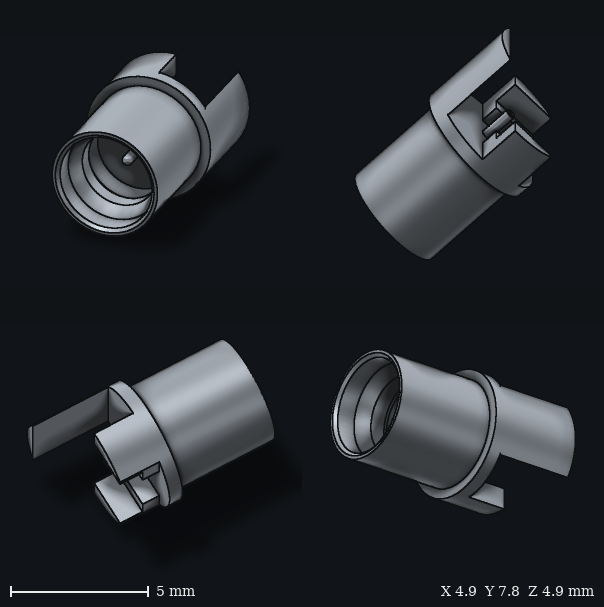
import cadquery as cq
import math

total_length = 7.8
collar_radius = 2.45
collar_front = 4.095
collar_back = 4.64
barrel_radius = 2.075

mouth_radius = 1.94
entry_radius = 1.81
mouth_depth = 0.13
entry_depth = 0.9
seat_radius = 1.47
seat_depth = 1.405
flare_depth = 2.01
groove_radius = 1.58
groove_depth = 2.215
bore_depth = 3.12

leg_left = -1.7
leg_right = 0.195
leg_inner_height = 1.61
leg_end = 6.29
standoff_inner_height = 1.0
standoff_end = 5.34
side_tab_inner = 2.005

pin_radius = 0.195
pin_tip = 1.95
pin_end = 5.905
pin_chamfer = 0.05


def disc(radius, start, end):
    """Solid cylinder on the Y axis between two stations."""
    return cq.Workplane("XZ", origin=(0, start, 0)).circle(radius).extrude(start - end)


def rear_segment(left, right, bottom, top, end):
    """Part of the collar cylinder inside an XZ rectangle, standing behind the collar."""
    block = cq.Workplane("XY").box(
        right - left, end - collar_front, top - bottom, centered=False
    )
    block = block.translate((left, collar_front, bottom))
    return block.intersect(disc(collar_radius, collar_front, end))


def make_bore():
    profile = [
        (0, 0),
        (mouth_radius, 0),
        (entry_radius, mouth_depth),
        (entry_radius, entry_depth),
        (seat_radius, seat_depth),
        (seat_radius, flare_depth),
        (groove_radius, groove_depth),
        (groove_radius, bore_depth),
        (0, bore_depth),
    ]
    return cq.Workplane("XY").polyline(profile).close().revolve(360, (0, 0, 0), (0, 1, 0))


def make_pin():
    """Contact pin with a hemispherical front tip and a chamfered rear end."""
    arc_offset = pin_radius * math.sqrt(0.5)
    nose_center = pin_tip + pin_radius
    profile = (
        cq.Workplane("XY")
        .moveTo(0, pin_tip)
        .threePointArc((arc_offset, nose_center - arc_offset), (pin_radius, nose_center))
        .lineTo(pin_radius, pin_end - pin_chamfer)
        .lineTo(pin_radius - pin_chamfer, pin_end)
        .lineTo(0, pin_end)
        .close()
    )
    return profile.revolve(360, (0, 0, 0), (0, 1, 0))


body = disc(barrel_radius, 0, collar_back).union(disc(collar_radius, collar_front, collar_back))
body = body.cut(make_bore())

leg = rear_segment(leg_left, leg_right, leg_inner_height, collar_radius, leg_end)
standoff = rear_segment(leg_left, leg_right, standoff_inner_height, collar_radius, standoff_end)
upper_leg = leg.union(standoff)
body = body.union(upper_leg).union(upper_leg.mirror("XY"))

side_tab = rear_segment(side_tab_inner, collar_radius, -collar_radius, collar_radius, total_length)
body = body.union(side_tab)

result = body.union(make_pin())